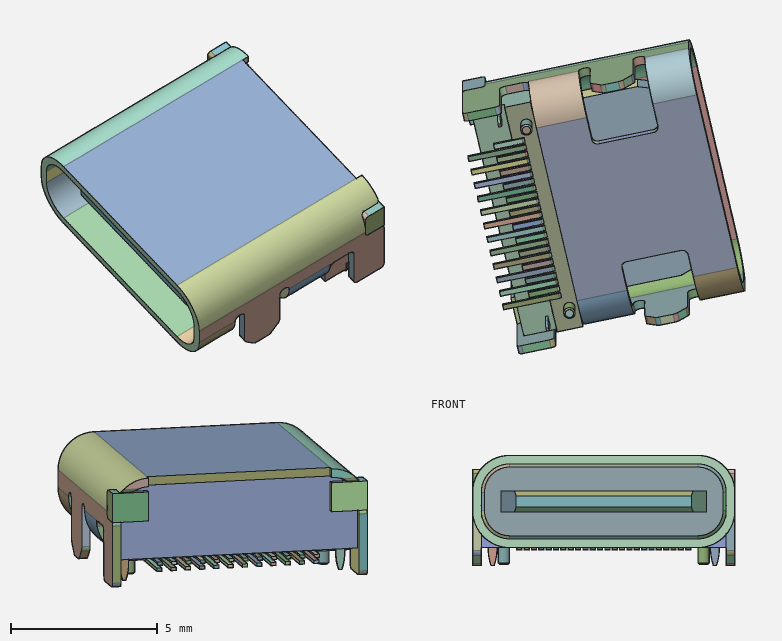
import cadquery as cq

shell_width = 8.94
shell_height = 3.15
shell_depth = 7.9
shell_radius = 1.26
wall = 0.295
half_width = shell_width / 2
inner_half_width = half_width - wall
flat_half_width = half_width - shell_radius
roof_back = 7.66

leg_drop = 0.62
leg_top = shell_height - shell_radius
mid_leg_front = 1.94
mid_leg_back = 3.44
mid_leg_chamfer = 0.42
mid_leg_round = 0.23
rear_leg_front = 6.61
rear_leg_round = 0.16

opening_top = shell_radius
slot_width = 0.4
slot_radius = slot_width / 2
slot_top = 1.44
floor_window_inner = 2.19
rear_opening_front = 5.6
rear_window_round = 0.21

ear_front = 7.11
ear_bottom = 1.65
ear_top = 2.66
ear_round = 0.13
notch_mouth_round = 0.125

plug_front = 5.01
plug_chamfer = 0.11
block_front = rear_opening_front
block_back = roof_back
undercut_front = 6.5
undercut_height = wall
tongue_front = 0.57
tongue_thickness = 0.72
tongue_half_width = 3.505
tongue_tip_half_width = 2.99
tongue_taper_length = 1.43
tongue_tip_chamfer = 0.17

peg_x = 3.41
peg_y = 5.9
peg_diameter = 0.39
peg_drop = 0.57
peg_chamfer = 0.05

blade_x = 3.79
blade_front = 6.705
blade_thickness = 0.09
blade_width = 0.3
blade_tip_width = 0.11
blade_straight_end = -0.13
blade_bulge = 0.02

tails_per_row = 12
tail_pitch = 0.5
row_offset = tail_pitch / 4
tail_width = 0.18
tail_top = 0.04
tail_bottom = -0.08
tail_front = 6.08
tail_round = 0.07
front_row_back = 7.15
rear_row_back = 8.1

sides = (-1, 1)


def span_box(x_span, y_span, z_span):
    """Box between two limits on each axis."""
    (x0, x1), (y0, y1), (z0, z1) = x_span, y_span, z_span
    return cq.Workplane("XY").box(x1 - x0, y1 - y0, z1 - z0, centered=False).translate((x0, y0, z0))


def on_side(body, side):
    """Body drawn at +X, or its mirror image at -X."""
    return body if side > 0 else body.mirror("YZ")


def rounded_bar(inset, y_start, y_end):
    """Rounded bar along Y, smaller than the shell outline by the inset all round."""
    return (
        cq.Workplane("XZ", origin=(0, y_start, shell_height / 2))
        .rect(shell_width - 2 * inset, shell_height - 2 * inset)
        .extrude(y_start - y_end)
        .edges("|Y")
        .fillet(shell_radius - inset)
    )




def mid_leg():
    """Straight leg with a tapered, rounded foot."""
    leg = span_box(
        (inner_half_width, half_width), (mid_leg_front, mid_leg_back), (-leg_drop, leg_top)
    )
    leg = leg.edges("|X and <Z").chamfer(mid_leg_chamfer)
    return leg.edges("|X and (not >Z)").fillet(mid_leg_round)


def floor_window():
    """Opening in the floor and lower corner beside a middle leg, rounded at its inner end."""
    window = span_box(
        (floor_window_inner, inner_half_width),
        (mid_leg_front - slot_width, mid_leg_back + slot_width),
        (0, opening_top),
    )
    return window.edges("|Z and <X").fillet(slot_radius)


def wall_slot(y_start):
    """Round-topped slot through the side wall."""
    round_center = slot_top - slot_radius
    slot = span_box(
        (inner_half_width, half_width), (y_start, y_start + slot_width), (0, round_center)
    )
    round_top = (
        cq.Workplane("YZ", origin=(inner_half_width, y_start + slot_radius, round_center))
        .circle(slot_radius)
        .extrude(wall)
    )
    return slot.union(round_top)


def rear_window():
    """Opening through the side wall in front of a rear leg."""
    window = span_box(
        (inner_half_width, half_width), (rear_opening_front, rear_leg_front), (0, opening_top)
    )
    return window.edges("|X and >Z").fillet(rear_window_round)


def rear_leg():
    """Rear leg, with the flat strip of side wall above the window in front of it."""
    leg = span_box(
        (inner_half_width, half_width), (rear_leg_front, shell_depth), (-leg_drop, opening_top)
    )
    leg = leg.edges("|X and <Z").fillet(rear_leg_round)
    strip = span_box(
        (inner_half_width, half_width),
        (rear_opening_front, shell_depth),
        (opening_top - rear_window_round, leg_top),
    )
    return leg.union(strip).cut(rear_window())


def ear_notch():
    """Notch the shape of an ear, with rounded edges at its open rear end."""
    mouth = shell_depth - notch_mouth_round
    return (
        cq.Workplane("YZ", origin=(flat_half_width, 0, 0))
        .moveTo(shell_depth, ear_bottom - notch_mouth_round)
        .radiusArc((mouth, ear_bottom), -notch_mouth_round)
        .lineTo(ear_front + ear_round, ear_bottom)
        .radiusArc((ear_front, ear_bottom + ear_round), ear_round)
        .lineTo(ear_front, ear_top - ear_round)
        .radiusArc((ear_front + ear_round, ear_top), ear_round)
        .lineTo(mouth, ear_top)
        .radiusArc((shell_depth, ear_top + notch_mouth_round), -notch_mouth_round)
        .close()
        .extrude(shell_radius)
    )


def make_shell():
    """Tube with its floor open at the rear, side openings, legs and ear notches."""
    shell = rounded_bar(0, 0, shell_depth).cut(rounded_bar(wall, 0, shell_depth))
    rear_opening = span_box(
        (-inner_half_width, inner_half_width), (rear_opening_front, shell_depth), (0, opening_top)
    )
    roof_cut = span_box(
        (-flat_half_width, flat_half_width), (roof_back, shell_depth), (leg_top, shell_height)
    )
    shell = shell.cut(rear_opening).cut(roof_cut)
    for side in sides:
        for opening in (
            floor_window(),
            wall_slot(mid_leg_front - slot_width),
            wall_slot(mid_leg_back),
            rear_window(),
        ):
            shell = shell.cut(on_side(opening, side))
        for leg in (mid_leg(), rear_leg()):
            shell = shell.union(on_side(leg, side))
        shell = shell.cut(on_side(ear_notch(), side))
    return shell




def block():
    """Plug that fills the shell, on a square base that sits between the rear legs."""
    plug = rounded_bar(wall, plug_front, block_back).faces("<Y").chamfer(plug_chamfer)
    base = span_box(
        (-inner_half_width, inner_half_width), (block_front, block_back), (0, opening_top)
    )
    undercut = span_box(
        (-inner_half_width, inner_half_width), (undercut_front, block_back), (0, undercut_height)
    )
    return plug.union(base).cut(undercut)


def tongue():
    """Flat tongue, narrowing toward a chamfered tip."""
    taper_end = tongue_front + tongue_taper_length
    bottom = (shell_height - tongue_thickness) / 2
    plate = (
        cq.Workplane("XY", origin=(0, 0, bottom))
        .polyline([
            (-tongue_tip_half_width, tongue_front),
            (tongue_tip_half_width, tongue_front),
            (tongue_half_width, taper_end),
            (tongue_half_width, block_back),
            (-tongue_half_width, block_back),
            (-tongue_half_width, taper_end),
        ])
        .close()
        .extrude(tongue_thickness)
    )
    return plate.edges("|X and <Y").chamfer(tongue_tip_chamfer)


def ear():
    """Lug that fills a shell notch out to the side wall plane."""
    body = span_box(
        (flat_half_width, half_width), (ear_front, shell_depth), (ear_bottom, ear_top)
    )
    return body.edges("|X and <Y").fillet(ear_round)


def peg():
    """Round peg with a chamfered end."""
    body = (
        cq.Workplane("XY", origin=(peg_x, peg_y, -peg_drop))
        .circle(peg_diameter / 2)
        .extrude(peg_drop + undercut_height)
    )
    return body.faces("<Z").chamfer(peg_chamfer)


def blade():
    """Thin upright blade whose sides curve in toward a blunt tip."""
    half = blade_width / 2
    half_tip = blade_tip_width / 2
    return (
        cq.Workplane("XZ", origin=(blade_x, blade_front, 0))
        .moveTo(half_tip, -leg_drop)
        .lineTo(-half_tip, -leg_drop)
        .sagittaArc((-half, blade_straight_end), blade_bulge)
        .lineTo(-half, undercut_height)
        .lineTo(half, undercut_height)
        .lineTo(half, blade_straight_end)
        .sagittaArc((half_tip, -leg_drop), blade_bulge)
        .close()
        .extrude(-blade_thickness)
    )


def tail(x, y_end):
    """Flat strip along Y, rounded under its front end."""
    half = tail_width / 2
    strip = span_box((x - half, x + half), (tail_front, y_end), (tail_bottom, tail_top))
    return strip.edges("|X and <Y and <Z").fillet(tail_round)


def make_housing():
    """Block and tongue in one piece with the ears, pegs, blades and tails."""
    housing = block().union(tongue())
    for side in sides:
        for feature in (ear(), peg(), blade()):
            housing = housing.union(on_side(feature, side))
    for index in range(tails_per_row):
        x = (index - (tails_per_row - 1) / 2) * tail_pitch
        housing = housing.union(tail(x - row_offset, front_row_back))
        housing = housing.union(tail(x + row_offset, rear_row_back))
    return housing


shell = make_shell()
housing = make_housing()
result = cq.Compound.makeCompound([*shell.solids().vals(), *housing.solids().vals()])